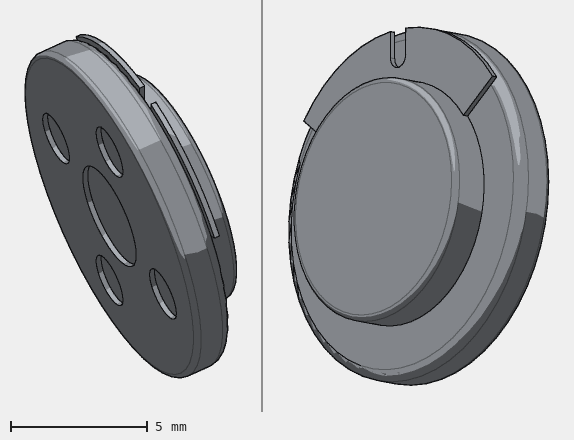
import cadquery as cq
import math

disc_radius = 6.5
disc_thickness = 1.5
disc_front_fillet = 0.21
disc_back_fillet = 0.39

boss_radius = 4.5
total_thickness = 2.9
boss_fillet = 0.21

plate_thickness = 0.21
plate_half_angle = 53.0
slot_width = 0.83
slot_end_center = (boss_radius + disc_radius) / 2

recess_depth = 0.21
center_recess_diameter = 4.0
outer_recess_diameter = 2.0
outer_recess_offset = 4.0
outer_recess_count = 4


def plane_at(y):
    """Sketch plane facing +Y at the given Y; its local axes are -X and +Z."""
    return cq.Workplane(cq.Plane(origin=(0, y, 0), xDir=(-1, 0, 0), normal=(0, 1, 0)))


def point_at(radius, angle):
    """Point in the sketch plane, with the angle in degrees from +Z."""
    turn = math.radians(angle)
    return (radius * math.sin(turn), radius * math.cos(turn))


def make_disc():
    disc = plane_at(0).circle(disc_radius).extrude(disc_thickness)
    disc = disc.faces("<Y").edges().fillet(disc_front_fillet)
    return disc.faces(">Y").edges().fillet(disc_back_fillet)


def make_boss():
    boss = plane_at(disc_thickness).circle(boss_radius).extrude(total_thickness - disc_thickness)
    return boss.faces(">Y").edges().fillet(boss_fillet)


def make_key_plate():
    """Sector centred on +Z, notched at the rim by a round-bottomed slot; the boss covers its inner part."""
    sector = (
        plane_at(disc_thickness)
        .moveTo(0, 0)
        .lineTo(*point_at(disc_radius, -plate_half_angle))
        .threePointArc((0, disc_radius), point_at(disc_radius, plate_half_angle))
        .close()
        .extrude(plate_thickness)
    )
    slot_end = (
        plane_at(disc_thickness)
        .center(0, slot_end_center)
        .circle(slot_width / 2)
        .extrude(plate_thickness)
    )
    slot_length = disc_radius - slot_end_center
    slot_sides = (
        plane_at(disc_thickness)
        .center(0, slot_end_center + slot_length / 2)
        .rect(slot_width, slot_length)
        .extrude(plate_thickness)
    )
    return sector.cut(slot_end).cut(slot_sides)


def make_recesses():
    center = plane_at(0).circle(center_recess_diameter / 2).extrude(recess_depth)
    outer = (
        plane_at(0)
        .polarArray(outer_recess_offset, 0, 360, outer_recess_count)
        .circle(outer_recess_diameter / 2)
        .extrude(recess_depth)
    )
    return center.union(outer)


result = make_disc().union(make_key_plate()).union(make_boss()).cut(make_recesses())